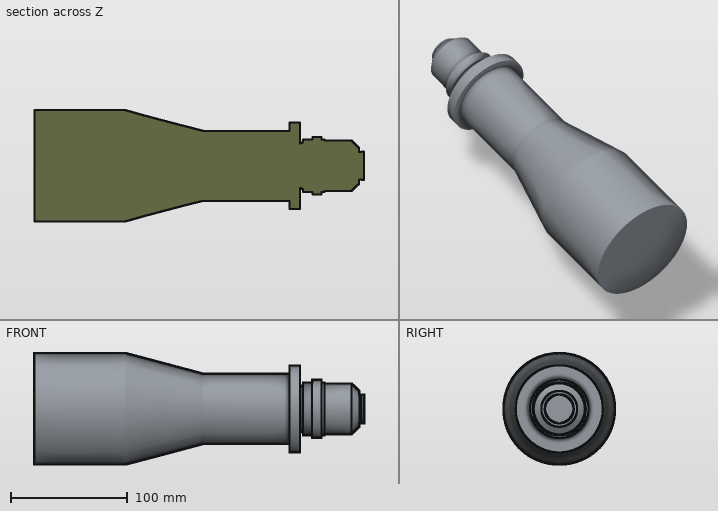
import cadquery as cq

total_length = 283.2

body_end = 78.2
taper_end = 144.7
flange_start = 219.0
flange_end = 228.3
neck_end = 230.5
ring_start = 238.5
ring_end = 246.7
collar_end = 249.2
barrel_end = 272.2
nose_end = 279.0
groove_end = 281.0

body_diameter = 96.0
tube_diameter = 60.5
flange_diameter = 74.8
neck_start_diameter = 38.5
neck_end_diameter = 40.8
collar_diameter = 45.5
ring_diameter = 50.0
barrel_diameter = 44.0
nose_diameter = 31.0
groove_diameter = 23.8
tip_diameter = 25.0


def section(start, end, start_diameter, end_diameter=None):
    """Cylinder, or cone when two diameters are given, between two axial positions."""
    if end_diameter is None:
        end_diameter = start_diameter
    return (
        cq.Workplane("XZ")
        .moveTo(start, 0)
        .lineTo(start, start_diameter / 2)
        .lineTo(end, end_diameter / 2)
        .lineTo(end, 0)
        .close()
        .revolve(360, (0, 0, 0), (1, 0, 0))
    )


sections = [
    section(0, body_end, body_diameter),
    section(body_end, taper_end, body_diameter, tube_diameter),
    section(taper_end, flange_start, tube_diameter),
    section(flange_start, flange_end, flange_diameter),
    section(flange_end, neck_end, neck_start_diameter, neck_end_diameter),
    section(neck_end, ring_start, collar_diameter),
    section(ring_start, ring_end, ring_diameter),
    section(ring_end, collar_end, collar_diameter),
    section(collar_end, barrel_end, barrel_diameter),
    section(barrel_end, nose_end, barrel_diameter, nose_diameter),
    section(nose_end, groove_end, groove_diameter),
    section(groove_end, total_length, tip_diameter),
]

result = sections[0]
for next_section in sections[1:]:
    result = result.union(next_section)